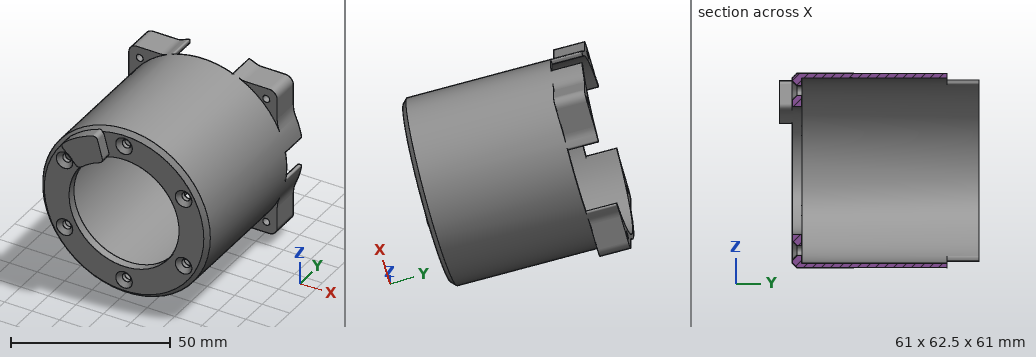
import cadquery as cq
import math

BODY_RADIUS = 30.5
BODY_LENGTH = 58.5
FRONT_CHAMFER = 1.5
WALL = 1.5
CAVITY_RADIUS = BODY_RADIUS - WALL
FRONT_PLATE = 3.0
BORE_RADIUS = 20.0

SCREW_COUNT = 6
SCREW_CIRCLE_RADIUS = 25.0
SCREW_HOLE_DIAMETER = 3.0
SCREW_HEAD_DIAMETER = 6.0
SCREW_HEAD_ANGLE = 90.0

FLANGE_HALF = 27.0
FLANGE_LENGTH = 10.0
FLANGE_START = BODY_LENGTH - FLANGE_LENGTH
FLANGE_CORNER_RADIUS = 3.0
TOP_BLEND_RADIUS = 5.0
SIDE_BLEND_RADIUS = 10.0
MOUNT_HOLE_OFFSET = 23.0
MOUNT_HOLE_DIAMETER = 2.5

TOP_NOTCH_WIDTH = 21.1
SIDE_NOTCH_WIDTH = 10.0
NOTCH_EDGE_RADIUS = 0.5

TAB_HEIGHT = 4.0
TAB_ROOT = 1.0
TAB_OUTER_RADIUS = 29.5
TAB_START_ANGLE = 105.0
TAB_END_ANGLE = 135.0
TAB_CORNER_RADIUS = 1.5


def polar(radius, angle):
    """X, Z point at a radius and an angle in degrees from +X toward +Z."""
    turn = math.radians(angle)
    return (radius * math.cos(turn), radius * math.sin(turn))


def section(start):
    """Sketch plane at Y = start, with local axes X and Z; extrude(-d) runs toward +Y."""
    return cq.Workplane("XZ", origin=(0, start, 0))


def cylinder(radius, start, length):
    return section(start).circle(radius).extrude(-length)


def blend_points(blend_radius):
    """Ends and middle of a concave arc joining a flange edge to the tube.

    Each point is (distance along the edge, distance out from the axis).
    """
    center_out = FLANGE_HALF + blend_radius
    center_distance = BODY_RADIUS + blend_radius
    center_along = math.sqrt(center_distance**2 - center_out**2)
    on_edge = (center_along, FLANGE_HALF)
    ratio = BODY_RADIUS / center_distance
    on_tube = (center_along * ratio, center_out * ratio)
    half_angle = math.atan2(center_along, center_out) / 2
    middle = (
        center_along - blend_radius * math.sin(half_angle),
        center_out - blend_radius * math.cos(half_angle),
    )
    return on_tube, middle, on_edge


def flange_corner():
    """Flange corner in the +X +Z quadrant, blended into the tube on both sides."""
    top_tube, top_middle, top_edge = blend_points(TOP_BLEND_RADIUS)
    side_tube, side_middle, side_edge = [(out, along) for along, out in blend_points(SIDE_BLEND_RADIUS)]
    corner_start = FLANGE_HALF - FLANGE_CORNER_RADIUS
    corner_middle = corner_start + FLANGE_CORNER_RADIUS * math.sqrt(0.5)
    block = (
        section(FLANGE_START)
        .moveTo(0, 0)
        .lineTo(*top_tube)
        .threePointArc(top_middle, top_edge)
        .lineTo(corner_start, FLANGE_HALF)
        .threePointArc((corner_middle, corner_middle), (FLANGE_HALF, corner_start))
        .lineTo(*side_edge)
        .threePointArc(side_middle, side_tube)
        .close()
        .extrude(-FLANGE_LENGTH)
    )
    hole = (
        section(FLANGE_START)
        .center(MOUNT_HOLE_OFFSET, MOUNT_HOLE_OFFSET)
        .circle(MOUNT_HOLE_DIAMETER / 2)
        .extrude(-FLANGE_LENGTH)
    )
    return block.cut(hole)


def outer_body():
    body = cylinder(BODY_RADIUS, 0, BODY_LENGTH).faces("<Y").chamfer(FRONT_CHAMFER)
    right_top = flange_corner()
    right_bottom = right_top.mirror("XY")
    for corner in (right_top, right_bottom):
        body = body.union(corner).union(corner.mirror("YZ"))
    return body


def cut_notch(body, size_x, size_z, center_x):
    """Open the rear wall with a block and round the lengthwise edges left on its cut faces."""
    margin = 0.1
    block = section(FLANGE_START).center(center_x, 0).rect(size_x, size_z).extrude(-FLANGE_LENGTH)
    edge_zone = cq.selectors.BoxSelector(
        (center_x - size_x / 2 - margin, FLANGE_START, -size_z / 2 - margin),
        (center_x + size_x / 2 + margin, BODY_LENGTH, size_z / 2 + margin),
    )
    return body.cut(block).edges("|Y").edges(edge_zone).fillet(NOTCH_EDGE_RADIUS)


def cut_notches(body):
    body = cut_notch(body, TOP_NOTCH_WIDTH, 2 * BODY_RADIUS, 0)
    return cut_notch(body, BODY_RADIUS, SIDE_NOTCH_WIDTH, BODY_RADIUS)


def screw_cutter(angle):
    x, z = polar(SCREW_CIRCLE_RADIUS, angle)
    hole_radius = SCREW_HOLE_DIAMETER / 2
    head_radius = SCREW_HEAD_DIAMETER / 2
    head_depth = (head_radius - hole_radius) / math.tan(math.radians(SCREW_HEAD_ANGLE / 2))
    profile = (
        cq.Workplane("XY")
        .polyline([
            (0, 0),
            (head_radius, 0),
            (hole_radius, head_depth),
            (hole_radius, FRONT_PLATE),
            (0, FRONT_PLATE),
        ])
        .close()
    )
    return profile.revolve(360, (0, 0), (0, 1)).translate((x, 0, z))


def locating_tab():
    depth = TAB_HEIGHT + TAB_ROOT
    wedge_reach = 2 * TAB_OUTER_RADIUS
    ring = cylinder(TAB_OUTER_RADIUS, -TAB_HEIGHT, depth).cut(cylinder(BORE_RADIUS, -TAB_HEIGHT, depth))
    wedge = (
        section(-TAB_HEIGHT)
        .moveTo(0, 0)
        .lineTo(*polar(wedge_reach, TAB_START_ANGLE))
        .lineTo(*polar(wedge_reach, TAB_END_ANGLE))
        .close()
        .extrude(-depth)
    )
    return ring.intersect(wedge).edges("|Y").fillet(TAB_CORNER_RADIUS)


result = outer_body()
result = result.cut(cylinder(CAVITY_RADIUS, FRONT_PLATE, BODY_LENGTH - FRONT_PLATE))
result = result.cut(cylinder(BORE_RADIUS, 0, FRONT_PLATE))
result = cut_notches(result)
for index in range(SCREW_COUNT):
    result = result.cut(screw_cutter(90 + index * 360 / SCREW_COUNT))
result = result.union(locating_tab())